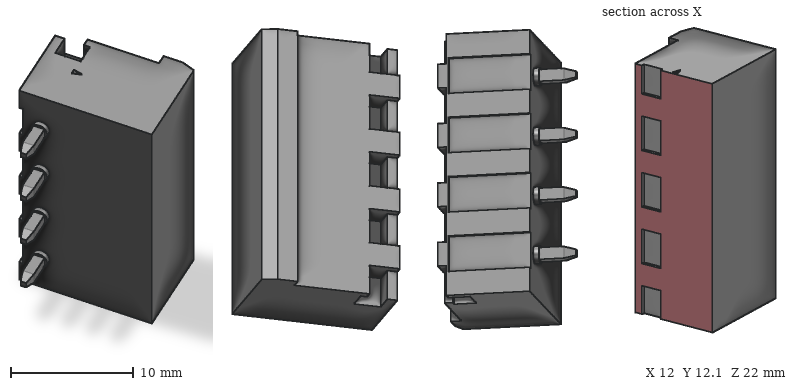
import cadquery as cq


pole_count = 4
pole_pitch = 5.0

body_length = 12.0
body_height = 22.0
body_depth = 7.7
lip_rise = 0.9
lip_start = 9.05
lip_bevel_length = 1.23
lip_bevel_drop = 0.45

groove_wall = 0.85
groove_wall_drop = 0.7
groove_mouth_end = 2.6
groove_end = 3.15
groove_depth = 2.53
bridge_height = 2.0

recess_depth = 0.35
recess_height = 3.0
recess_top = 6.8

pin_length = 3.5
pin_x = 2.02
pin_width = 1.0
pin_tip_width = 0.5
pin_tip_length = 1.0
collar_diameter = 1.45
collar_length = 0.46

arrow_base_x = 3.05
arrow_length = 0.81
arrow_width = 0.45
arrow_y = 3.87
arrow_depth = 0.07

pole_heights = [
    body_height / 2 + (index - (pole_count - 1) / 2) * pole_pitch
    for index in range(pole_count)
]


def make_body():
    lip_top = body_depth + lip_rise
    outline = [
        (0, 0),
        (body_length, 0),
        (body_length, lip_top - lip_bevel_drop),
        (body_length - lip_bevel_length, lip_top),
        (lip_start, lip_top),
        (lip_start, body_depth),
        (0, body_depth),
    ]
    return cq.Workplane("XY").polyline(outline).close().extrude(body_height)


def make_groove():
    """Groove over the full height, less the solid bridges at the poles."""
    wall_top = body_depth - groove_wall_drop
    floor = body_depth - groove_depth
    outline = [
        (0, body_depth),
        (0, wall_top),
        (groove_wall, wall_top),
        (groove_wall, floor),
        (groove_end, floor),
        (groove_end, wall_top),
        (groove_mouth_end, wall_top),
        (groove_mouth_end, body_depth),
    ]
    groove = cq.Workplane("XY").polyline(outline).close().extrude(body_height)
    for z in pole_heights:
        bridge = (
            cq.Workplane("XY", origin=(0, 0, z - bridge_height / 2))
            .rect(body_length, body_depth, centered=False)
            .extrude(bridge_height)
        )
        groove = groove.cut(bridge)
    return groove


def make_recess(z):
    return (
        cq.Workplane("XY", origin=(0, 0, z - recess_height / 2))
        .rect(recess_depth, recess_top, centered=False)
        .extrude(recess_height)
    )


def make_pin(z):
    """Square pin with a round collar and a tapered tip, pointing to -Y."""
    shank_length = pin_length - pin_tip_length
    base = cq.Workplane("XZ", origin=(pin_x, 0, z))
    collar = base.circle(collar_diameter / 2).extrude(collar_length)
    shank = base.rect(pin_width, pin_width).extrude(shank_length)
    tip = (
        base.workplane(offset=shank_length)
        .rect(pin_width, pin_width)
        .workplane(offset=pin_tip_length)
        .rect(pin_tip_width, pin_tip_width)
        .loft(ruled=True)
    )
    return collar.union(shank).union(tip)


def make_arrow():
    outline = [
        (arrow_base_x, arrow_y - arrow_width / 2),
        (arrow_base_x + arrow_length, arrow_y),
        (arrow_base_x, arrow_y + arrow_width / 2),
    ]
    top_face = cq.Workplane("XY", origin=(0, 0, body_height))
    return top_face.polyline(outline).close().extrude(-arrow_depth)


result = make_body().cut(make_groove()).cut(make_arrow())
for pole_z in pole_heights:
    result = result.cut(make_recess(pole_z)).union(make_pin(pole_z))